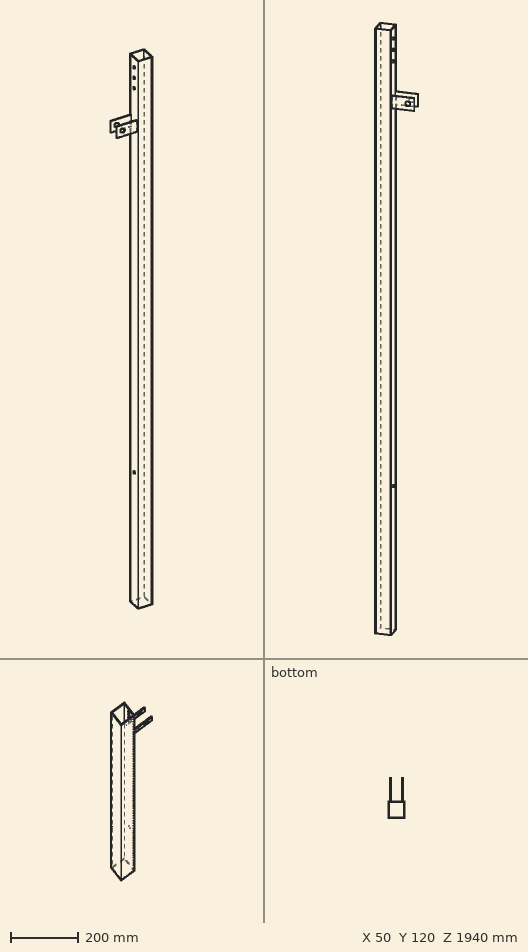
import cadquery as cq

length = 1940.0
tube_side = 50.0
wall = 3.0

overall_depth = 120.0
lug_reach = overall_depth - tube_side
lug_height = 40.0
lug_thickness = 4.0
lug_spacing = 35.0
lug_top_drop = 211.0
lug_z = length - lug_top_drop - lug_height / 2
lug_hole_diameter = 15.0
lug_hole_end_distance = lug_height / 2

front_hole_diameter = 8.1
top_hole_drop = 35.0
top_hole_pitch = 37.0
top_hole_count = 3
low_hole_z = 470.0

front_y = -tube_side / 2
lug_tip_y = front_y - lug_reach


def make_tube():
    bore_side = tube_side - 2 * wall
    return (
        cq.Workplane("XY")
        .rect(tube_side, tube_side)
        .rect(bore_side, bore_side)
        .extrude(length)
    )


def make_lug(center_x):
    plate = cq.Workplane("XY").box(lug_thickness, lug_reach, lug_height)
    plate = plate.translate((center_x, front_y - lug_reach / 2, lug_z))
    hole = (
        cq.Workplane("YZ", origin=(center_x, lug_tip_y + lug_hole_end_distance, lug_z))
        .circle(lug_hole_diameter / 2)
        .extrude(lug_thickness, both=True)
    )
    return plate.cut(hole)


def make_front_hole(center_z):
    """Cutter through the front wall only."""
    return (
        cq.Workplane("XZ", origin=(0, front_y + wall, center_z))
        .circle(front_hole_diameter / 2)
        .extrude(wall)
    )


result = make_tube()

top_hole_heights = [length - top_hole_drop - i * top_hole_pitch for i in range(top_hole_count)]
for hole_z in top_hole_heights + [low_hole_z]:
    result = result.cut(make_front_hole(hole_z))

for side in (-1, 1):
    result = result.union(make_lug(side * lug_spacing / 2))